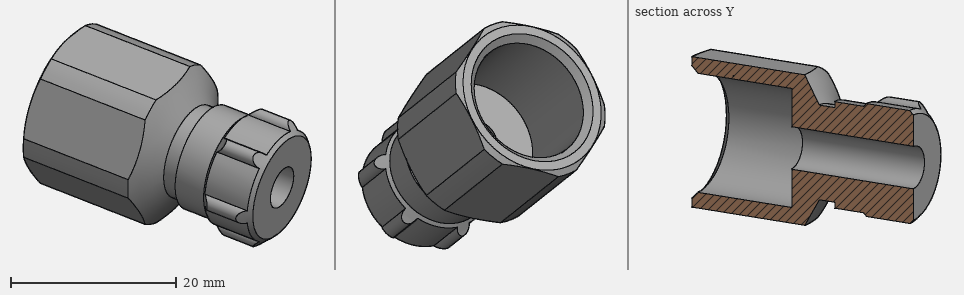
import cadquery as cq
import math

length = 31.0

across_flats = 19.0
corner_diameter = 20.5
front_face_diameter = 18.9
hex_end = 15.4
cone_angle = 60.0

neck_diameter = 12.0
collar_diameter = 13.5
collar_start = 19.95

nut_start = 24.02
nut_diameter = 14.3
rib_tip_diameter = 16.28
rib_width = 1.92
rib_count = 6
nut_end_diameter = 13.27

socket_diameter = 14.95
socket_depth = 13.95
socket_chamfer = 0.87
through_diameter = 5.3


def cylinder(diameter, start, end):
    """Cylinder along X between two stations."""
    return cq.Workplane("YZ", origin=(start, 0, 0)).circle(diameter / 2).extrude(end - start)


def turned(profile):
    """Solid of revolution about X from (station, radius) points."""
    return cq.Workplane("XY").polyline(profile).close().revolve(360, (0, 0, 0), (1, 0, 0))


def cone_run(large_diameter, small_diameter):
    """Axial length of an end cone between two diameters."""
    return (large_diameter - small_diameter) / 2 / math.tan(math.radians(cone_angle))


def hex_body():
    """Hexagon with flats facing up and down, trimmed by a turned envelope."""
    neck_start = hex_end + cone_run(corner_diameter, neck_diameter)
    across_corners = across_flats / math.cos(math.pi / 6)
    prism = cq.Workplane("YZ").polygon(6, across_corners).extrude(neck_start)
    envelope = turned([
        (0, 0),
        (0, front_face_diameter / 2),
        (cone_run(corner_diameter, front_face_diameter), corner_diameter / 2),
        (hex_end, corner_diameter / 2),
        (neck_start, neck_diameter / 2),
        (neck_start, 0),
    ])
    return prism.intersect(envelope)


def ribbed_nut():
    """Round nut with rounded ribs, both ends trimmed by 45 degree cones."""
    nut = cylinder(nut_diameter, nut_start, length)
    rib_centre_radius = (rib_tip_diameter - rib_width) / 2
    for index in range(rib_count):
        rib = cylinder(rib_width, nut_start, length).translate((0, rib_centre_radius, 0))
        nut = nut.union(rib.rotate((0, 0, 0), (1, 0, 0), index * 360 / rib_count))
    tip_radius = rib_tip_diameter / 2
    envelope = turned([
        (nut_start, 0),
        (nut_start, collar_diameter / 2),
        (nut_start + tip_radius - collar_diameter / 2, tip_radius),
        (length - tip_radius + nut_end_diameter / 2, tip_radius),
        (length, nut_end_diameter / 2),
        (length, 0),
    ])
    return nut.intersect(envelope)


def socket():
    """Flat-bottomed socket with a 45 degree entry chamfer."""
    radius = socket_diameter / 2
    return turned([
        (0, 0),
        (0, radius + socket_chamfer),
        (socket_chamfer, radius),
        (socket_depth, radius),
        (socket_depth, 0),
    ])


neck = cylinder(neck_diameter, hex_end, collar_start)
collar = cylinder(collar_diameter, collar_start, nut_start)

result = (
    hex_body()
    .union(neck)
    .union(collar)
    .union(ribbed_nut())
    .cut(socket())
    .cut(cylinder(through_diameter, 0, length))
    .translate((-length / 2, 0, 0))
)